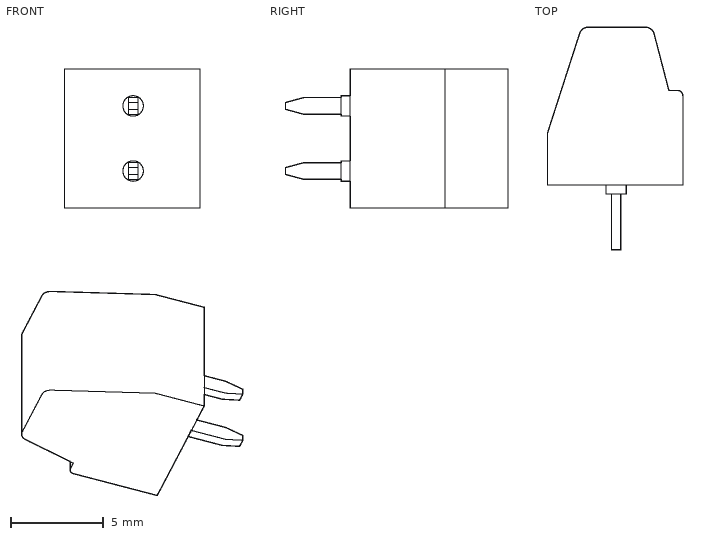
import cadquery as cq

width = 7.3
height = 7.5
total_length = 12.0
pin_length = 3.49
housing_depth = total_length - pin_length

left_side_depth = 2.82
step_depth = 5.1
step_inner_x = 6.54
crown_left_x = 1.84
crown_right_x = 5.65
crown_radius = 0.5
step_radius = 0.3

pin_x = 3.7
pin_pitch = 3.5
pin_width = 0.5
pin_height = 0.91
tip_height = 0.37
tip_length = 1.0
collar_diameter = 1.1
collar_length = 0.49


def make_housing():
    """Extrude the plan outline, then round the crown corners and the step corner."""
    outline = [
        (0, 0),
        (width, 0),
        (width, step_depth),
        (step_inner_x, step_depth),
        (crown_right_x, housing_depth),
        (crown_left_x, housing_depth),
        (0, left_side_depth),
    ]
    body = cq.Workplane("XY").polyline(outline).close().extrude(height)
    body = body.edges("|Z and >Y").fillet(crown_radius)
    step_corner = cq.selectors.NearestToPointSelector((width, step_depth, height / 2))
    return body.edges("|Z").edges(step_corner).fillet(step_radius)


def make_pin(center_z):
    """Round collar with a flat pin whose tip tapers in Z only."""
    collar = (
        cq.Workplane("XZ", origin=(pin_x, 0, center_z))
        .circle(collar_diameter / 2)
        .extrude(collar_length)
    )
    shoulder_y = tip_length - pin_length
    blade_outline = [
        (0, -pin_height / 2),
        (0, pin_height / 2),
        (shoulder_y, pin_height / 2),
        (-pin_length, tip_height / 2),
        (-pin_length, -tip_height / 2),
        (shoulder_y, -pin_height / 2),
    ]
    blade = (
        cq.Workplane("YZ", origin=(pin_x, 0, center_z))
        .polyline(blade_outline)
        .close()
        .extrude(pin_width / 2, both=True)
    )
    return collar.union(blade)


result = make_housing()
for side in (-1, 1):
    result = result.union(make_pin(height / 2 + side * pin_pitch / 2))